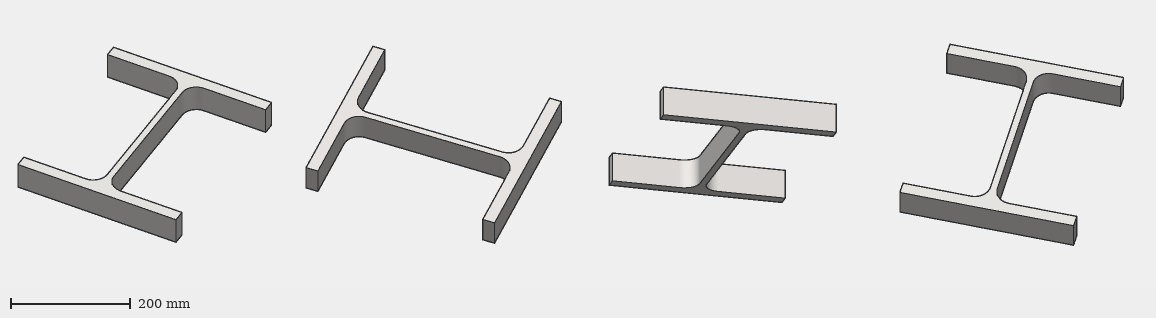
import cadquery as cq

flange_width = 300.0
section_depth = 340.0
web_thickness = 12.0
flange_thickness = 21.5
root_radius = 27.0
beam_length = 50.0


def flange(side):
    """Flange plate at the +Y (side = 1) or -Y (side = -1) end of the web."""
    center_y = side * (section_depth - flange_thickness) / 2
    return (
        cq.Workplane("XY")
        .center(0, center_y)
        .rect(flange_width, flange_thickness)
        .extrude(beam_length)
    )


def web():
    """Web plate joining the inner faces of the two flanges."""
    web_depth = section_depth - 2 * flange_thickness
    return cq.Workplane("XY").rect(web_thickness, web_depth).extrude(beam_length)


def round_roots(beam):
    """Fillet the four inside corners between the web and the flanges."""
    corner_zone = cq.selectors.BoxSelector(
        (-web_thickness, -section_depth / 2 + flange_thickness / 2, 0),
        (web_thickness, section_depth / 2 - flange_thickness / 2, beam_length),
    )
    return beam.edges("|Z").edges(corner_zone).fillet(root_radius)


result = round_roots(web().union(flange(1)).union(flange(-1)))